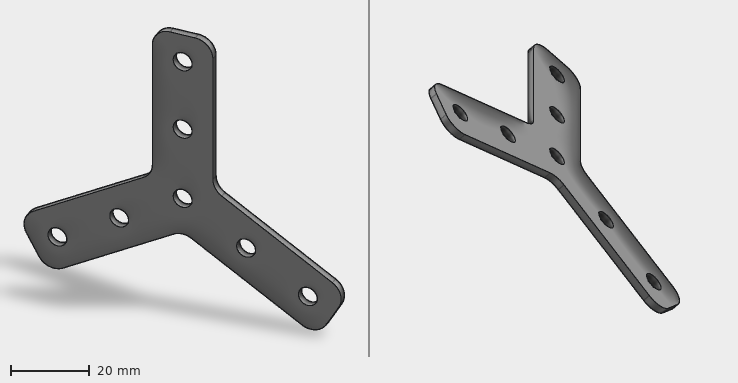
import cadquery as cq
import math

overall_width = 88.8
thickness = 2.0
arm_width = 17.0
corner_radius = 5.0
hole_diameter = 5.2
hole_distances = (20.5, 40.5)
arm_directions = (90, 210, 330)

arm_slope = math.radians(30)
tip_round_offset = arm_width / 2 - corner_radius
tip_round_reach = (
    overall_width / 2 - corner_radius - tip_round_offset * math.sin(arm_slope)
) / math.cos(arm_slope)
arm_length = tip_round_reach + corner_radius

inner_corner_reach = arm_width / 2 / math.tan(math.radians(60))


def arm_point(along, across, direction):
    """Point given along an arm and across it, positive to its left."""
    angle = math.radians(direction)
    return (
        along * math.cos(angle) - across * math.sin(angle),
        along * math.sin(angle) + across * math.cos(angle),
    )


def make_plate():
    """Three-armed plate with every corner rounded."""
    outline = []
    for direction in arm_directions:
        outline.append(arm_point(arm_length, -arm_width / 2, direction))
        outline.append(arm_point(arm_length, arm_width / 2, direction))
        outline.append(arm_point(inner_corner_reach, arm_width / 2, direction))
    plate = cq.Workplane("XZ").polyline(outline).close().extrude(thickness)
    return plate.edges("|Y").fillet(corner_radius)


def make_holes():
    """Cylinders for the centre hole and the holes along each arm."""
    centres = [(0, 0)]
    for direction in arm_directions:
        for distance in hole_distances:
            centres.append(arm_point(distance, 0, direction))
    return (
        cq.Workplane("XZ")
        .pushPoints(centres)
        .circle(hole_diameter / 2)
        .extrude(thickness)
    )


result = make_plate().cut(make_holes())